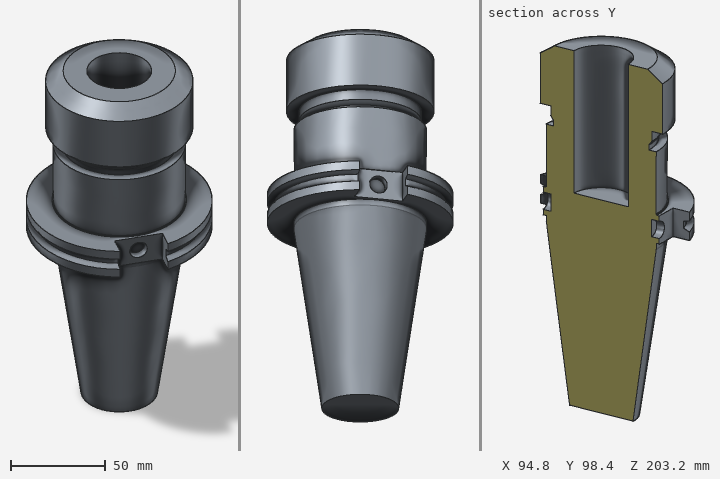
import cadquery as cq

total_height = 203.2
gauge_height = 101.5
flange_bottom = 104.9
flange_top = 121.1
nut_bottom = 168.0
nut_bevel_height = 6.3
neck_relief_top = 162.5
neck_relief_bottom = 160.1
collar_top = 157.3
base_ring_height = 0.6

gauge_radius = 35.2
taper_ratio = 7 / 24
taper_end_radius = gauge_radius - gauge_height * taper_ratio / 2
collar_top_radius = 35.2
collar_base_radius = 35.0
base_ring_radius = 35.5
neck_radius = 32.3
relief_radius = 30.5
nut_radius = 39.0
nut_face_radius = 29.7

flange_radius = 49.2
groove_radius = 45.5
groove_floor_bottom = 111.2
groove_floor_top = 115.0
groove_lower_rise = 1.5
groove_upper_rise = 1.2
slot_width = 26.2
slot_floor_distance = 37.0
slot_hole_diameter = 9.5
slot_hole_depth = 4.9

bore_diameter = 34.1
bore_depth = 81.3


def turned_body():
    """Taper, flange, collar, neck and nut as one revolved outline of (radius, height)."""
    outline = [
        (0, 0),
        (taper_end_radius, 0),
        (gauge_radius, gauge_height),
        (gauge_radius, flange_bottom),
        (flange_radius, flange_bottom),
        (flange_radius, groove_floor_bottom - groove_lower_rise),
        (groove_radius, groove_floor_bottom),
        (groove_radius, groove_floor_top),
        (flange_radius, groove_floor_top + groove_upper_rise),
        (flange_radius, flange_top),
        (base_ring_radius, flange_top),
        (base_ring_radius, flange_top + base_ring_height),
        (collar_base_radius, flange_top + base_ring_height),
        (collar_top_radius, collar_top),
        (relief_radius, collar_top),
        (relief_radius, neck_relief_bottom),
        (neck_radius, neck_relief_top),
        (neck_radius, nut_bottom),
        (nut_radius, nut_bottom),
        (nut_radius, total_height - nut_bevel_height),
        (nut_face_radius, total_height),
        (0, total_height),
    ]
    return cq.Workplane("XZ").polyline(outline).close().revolve(360, (0, 0), (0, 1))


def drive_slot(side):
    """Slot through the flange on the -X or +X side, with a blind hole in its floor."""
    flange_thickness = flange_top - flange_bottom
    flange_middle = (flange_top + flange_bottom) / 2
    slot_depth = flange_radius - slot_floor_distance
    slot = cq.Workplane("XY").box(slot_depth, slot_width, flange_thickness).translate(
        (side * (slot_floor_distance + slot_depth / 2), 0, flange_middle)
    )
    hole = (
        cq.Workplane("YZ", origin=(side * slot_floor_distance, 0, flange_middle))
        .circle(slot_hole_diameter / 2)
        .extrude(-side * slot_hole_depth)
    )
    return slot.union(hole)


def tool_bore():
    """Blind bore down from the nut face."""
    return (
        cq.Workplane("XY", origin=(0, 0, total_height - bore_depth))
        .circle(bore_diameter / 2)
        .extrude(bore_depth)
    )


result = turned_body().cut(tool_bore())
for side in (-1, 1):
    result = result.cut(drive_slot(side))